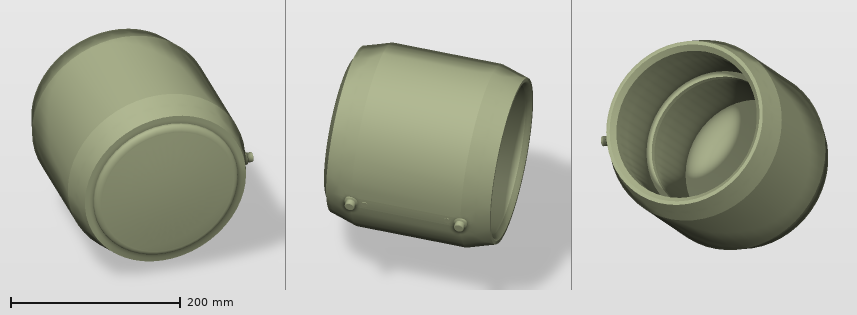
import cadquery as cq
import math

sleeve_length = 200.0
sleeve_diameter = 221.0
end_diameter = 200.5
taper_length = 33.3
bore_diameter = 180.0
mouth_diameter = 191.9
mouth_depth = 6.2

overall_length = 214.1
cap_start = 98.2
cap_mouth_diameter = 166.5
cap_inner_diameter = 164.8
cap_taper_length = 6.0
cap_wall = (bore_diameter - cap_inner_diameter) / 2
dome_diameter = 163.5
dome_height = 6.9
cap_corner_radius = 8.5

overall_width = 229.5
terminal_diameter = 12.0
terminal_edge = 0.7
collar_diameter = 16.0
collar_slope_height = 1.1
collar_rise = 1.8
button_diameter = 8.0
button_rise = 0.5
button_spacing = 16.0
root_depth = 6.9

sleeve_radius = sleeve_diameter / 2


def make_sleeve():
    end_radius = end_diameter / 2
    bore_radius = bore_diameter / 2
    profile = (
        cq.Workplane("XY")
        .moveTo(0, mouth_diameter / 2)
        .lineTo(0, end_radius)
        .lineTo(taper_length, sleeve_radius)
        .lineTo(sleeve_length - taper_length, sleeve_radius)
        .lineTo(sleeve_length, end_radius)
        .lineTo(sleeve_length, bore_radius)
        .lineTo(mouth_depth, bore_radius)
        .close()
    )
    return profile.revolve(360, (0, 0, 0), (1, 0, 0))


def dome_arc_middle(apex, radius, height):
    """Point halfway out along a spherical dome, as (x, radius)."""
    sphere_radius = (radius**2 + height**2) / (2 * height)
    middle = radius / 2
    return apex - sphere_radius + math.sqrt(sphere_radius**2 - middle**2), middle


def make_cap():
    outer_radius = bore_diameter / 2
    dome_radius = dome_diameter / 2
    mouth_radius = cap_mouth_diameter / 2
    inner_radius = cap_inner_diameter / 2
    inner_apex = overall_length - cap_wall
    inner_dome_height = dome_height * (inner_radius / dome_radius) ** 2
    profile = (
        cq.Workplane("XY")
        .moveTo(cap_start, mouth_radius)
        .lineTo(cap_start, outer_radius)
        .lineTo(sleeve_length, outer_radius)
        .radiusArc((overall_length - dome_height, dome_radius), cap_corner_radius)
        .threePointArc(dome_arc_middle(overall_length, dome_radius, dome_height), (overall_length, 0))
        .lineTo(inner_apex, 0)
        .threePointArc(
            dome_arc_middle(inner_apex, inner_radius, inner_dome_height),
            (inner_apex - inner_dome_height, inner_radius),
        )
        .lineTo(cap_start + cap_taper_length, inner_radius)
        .close()
    )
    return profile.revolve(360, (0, 0, 0), (1, 0, 0))


def make_post(x, diameter, bottom, top):
    """Cylinder along +Y between two heights above the X axis."""
    return (
        cq.Workplane("XZ", origin=(x, bottom, 0))
        .circle(diameter / 2)
        .extrude(bottom - top)
    )


def make_terminal(x):
    root = sleeve_radius - root_depth
    tip = overall_width - sleeve_radius
    pin = make_post(x, terminal_diameter, root, tip).faces(">Y").chamfer(terminal_edge)
    collar_slope_width = (collar_diameter - terminal_diameter) / 2
    collar = (
        make_post(x, collar_diameter, root, sleeve_radius + collar_rise)
        .faces(">Y")
        .chamfer(collar_slope_height, collar_slope_width)
    )
    return pin.union(collar)


result = make_sleeve().union(make_cap())
for end_x, inward in ((taper_length, 1), (sleeve_length - taper_length, -1)):
    button_x = end_x + inward * button_spacing
    button = make_post(button_x, button_diameter, sleeve_radius - root_depth, sleeve_radius + button_rise)
    result = result.union(make_terminal(end_x)).union(button)